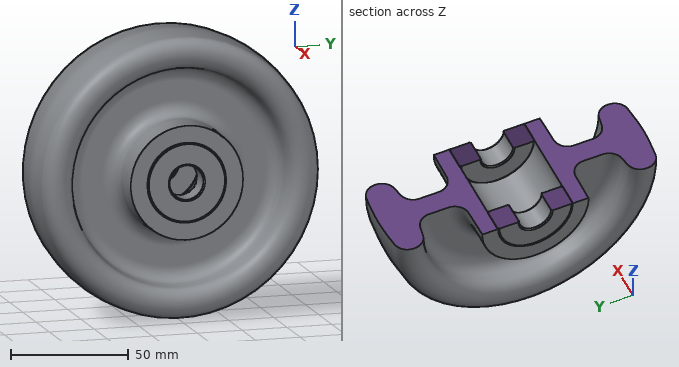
import cadquery as cq
import math

wheel_radius = 62.5
tread_crown_radius = 100.0
tread_width = 40.0
web_thickness = 10.0
web_outer_radius = 40.9
corner_radius = 6.5
rim_draft = 10.0

hub_radius = 25.0
hub_length = 50.0
hub_draft = 1.0

bearing_bore_radius = 7.5
bearing_outer_radius = 17.5
bearing_width = 11.0
bearing_chamfer = 0.6

web_face = web_thickness / 2
rim_face = tread_width / 2
hub_face = hub_length / 2
root_x = web_face + corner_radius
shoulder_x = rim_face - corner_radius


def tan_deg(degrees):
    return math.tan(math.radians(degrees))


def cos_deg(degrees):
    return math.cos(math.radians(degrees))


def sin_deg(degrees):
    return math.sin(math.radians(degrees))


def on_circle(centre, radius, degrees):
    """Point on a circle in the profile plane, with the angle counted from +X towards +Y."""
    return (centre[0] + radius * cos_deg(degrees), centre[1] + radius * sin_deg(degrees))


def add_corner(profile, centre, start, end):
    """Add a rounded corner that begins at the profile's current point."""
    return profile.threePointArc(
        on_circle(centre, corner_radius, (start + end) / 2),
        on_circle(centre, corner_radius, end),
    )


def make_wheel():
    hub_root = (
        root_x,
        hub_radius + (hub_face - root_x) * tan_deg(hub_draft) + corner_radius / cos_deg(hub_draft),
    )
    hub_root_start = 270 - hub_draft

    rim_root = (root_x, web_outer_radius)
    rim_root_end = 90 + rim_draft

    lip = (
        shoulder_x,
        web_outer_radius
        + 2 * corner_radius / cos_deg(rim_draft)
        + (shoulder_x - root_x) * tan_deg(rim_draft),
    )
    lip_start = 270 + rim_draft

    crown_centre = (0, wheel_radius - tread_crown_radius)
    shoulder_reach = tread_crown_radius - corner_radius
    shoulder_end = math.degrees(math.acos(shoulder_x / shoulder_reach))
    shoulder = on_circle(crown_centre, shoulder_reach, shoulder_end)

    profile = cq.Workplane("XY").moveTo(0, bearing_outer_radius)
    profile = profile.lineTo(hub_face, bearing_outer_radius)
    profile = profile.lineTo(hub_face, hub_radius)
    profile = profile.lineTo(*on_circle(hub_root, corner_radius, hub_root_start))
    profile = add_corner(profile, hub_root, hub_root_start, 180)
    profile = profile.lineTo(web_face, web_outer_radius)
    profile = add_corner(profile, rim_root, 180, rim_root_end)
    profile = profile.lineTo(*on_circle(lip, corner_radius, lip_start))
    profile = add_corner(profile, lip, lip_start, 360)
    profile = profile.lineTo(rim_face, shoulder[1])
    profile = add_corner(profile, shoulder, 0, shoulder_end)
    profile = profile.threePointArc(
        on_circle(crown_centre, tread_crown_radius, (shoulder_end + 90) / 2),
        (0, wheel_radius),
    )

    half_wheel = profile.close().revolve(360, (0, 0, 0), (1, 0, 0))
    return half_wheel.union(half_wheel.mirror("YZ"))


def make_bearing(start_x):
    """Plain ring with chamfered rims that reaches from start_x towards +X."""
    ring = (
        cq.Workplane("YZ")
        .circle(bearing_outer_radius)
        .circle(bearing_bore_radius)
        .extrude(bearing_width)
        .edges("%CIRCLE")
        .chamfer(bearing_chamfer)
    )
    return ring.translate((start_x, 0, 0))


wheel = make_wheel()
bearings = [make_bearing(start_x) for start_x in (-hub_face, hub_face - bearing_width)]

result = cq.Compound.makeCompound([wheel.val(), *[bearing.val() for bearing in bearings]])